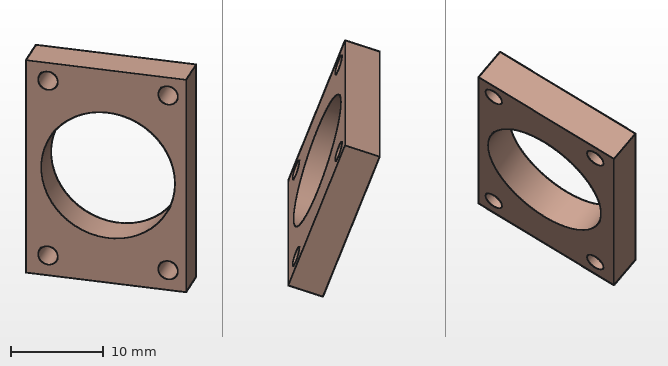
import cadquery as cq

plate_width = 18.0
plate_thickness = 4.0
plate_height = 25.5

pattern_offset_x = 0.23
pattern_offset_z = 0.13
bore_diameter = 15.02
mount_hole_diameter = 2.2
mount_spacing_x = 13.5
mount_spacing_z = 20.95

plate = cq.Workplane("XY").box(plate_width, plate_thickness, plate_height)


def through_cutter(diameter):
    """Cylinder along Y, centred on the hole pattern and as long as the plate is thick."""
    return (
        cq.Workplane("XZ")
        .center(pattern_offset_x, pattern_offset_z)
        .circle(diameter / 2)
        .extrude(plate_thickness / 2, both=True)
    )


result = plate.cut(through_cutter(bore_diameter))

for side_x in (-1, 1):
    for side_z in (-1, 1):
        corner = (side_x * mount_spacing_x / 2, 0, side_z * mount_spacing_z / 2)
        result = result.cut(through_cutter(mount_hole_diameter).translate(corner))